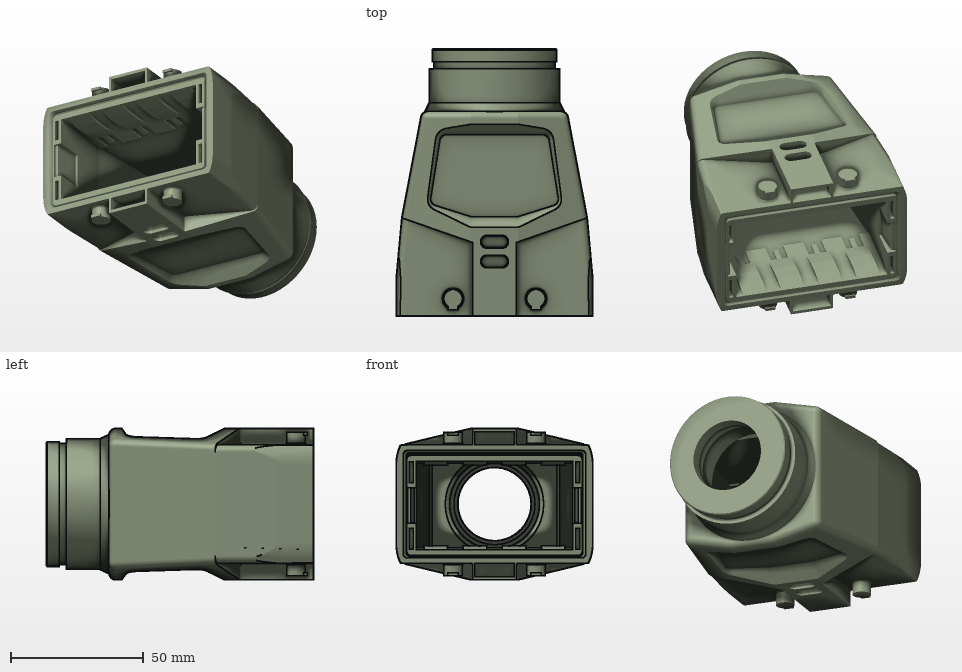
import cadquery as cq
import math


length = 100.5
half_width = 37.0
half_height = 28.5
front_half_height = 22.3
body_radius = 2.7
root_radius = 0.6
straight_end = 14.0
waist_y = 37.0
waist_half_width = 34.9
rear_y = 77.0
rear_half_width = 27.3

ridge_half_width = 8.8
roof_slope = 0.2385
box_half_width = 8.2
box_back_y = 27.7

crown_flat_z = 15.0
crown_corner_x = 35.3

label_floor_z = 22.9
label_wall_angle = 35.0
label_corner_radius = 2.5
label_cut_margin = 1.0
label_outline = [(8.7, 37.4), (24.3, 42.3), (20.2, 68.3)]

box_pocket_half_width = 7.4
box_wall = 1.2
box_pocket_depth = 16.0
slot_length = 10.4
slot_width = 4.8
slot_depth = 5.0
slot_draft = 3.0
slot_positions = (20.6, 28.0)

pin_x = 15.6
pin_y = 6.6
pin_diameter = 7.0
pin_top_z = 27.0
pin_flare = 0.5
pin_embed = 1.0
pin_tab_width = 3.8
pin_tab_height = 1.1
pin_tab_reach = 0.7

mouth_half = (34.3, 20.2)
mouth_seat_half = (33.2, 19.4)
mouth_corner_radius = 1.5
mouth_depth = 1.2

insert_shift_z = -0.5
insert_root_half = (33.2, 19.4)
insert_face_half = (33.0, 18.8)
insert_y = 0.4
insert_end_y = 28.0
insert_front_half_height = 16.65
insert_rear_half_height = 15.85
insert_half_width = 29.4

cavity_half_height = 16.6
cavity_rear_half_width = 24.5
cavity_end_y = 73.0
cavity_end_chamfer = 1.1

channel_half_height = 6.7
channel_front_x = 32.6
channel_mid_x = 31.5
channel_mid_y = 1.5
channel_back_x = 30.2
channel_end_y = 12.5
side_slot_x = (30.5, 32.1)
side_slot_z = (8.5, 16.5)
side_slot_depth = 5.0

tongue_width = 9.0
tongue_positions = (-22.1, -7.4, 7.4, 22.1)
tongue_root_z = insert_front_half_height + 0.5
tongue_profile = [(2.2, 16.1), (6.3, 15.2), (13.0, 15.2), (18.7, 16.0)]
window_width = 6.8
window_start_y = 20.0
window_bar_width = 2.0
window_bar_y = (20.0, 26.0)

neck_radius = 24.6
neck_end_y = 93.0
groove_diameter = 45.8
groove_end_y = 95.7
flange_diameter = 47.0
flange_chamfer = 0.4
flare_radius = 26.2
flare_end_y = 80.3
neck_root_margin = 1.0
bore_entry_radius = 18.5
bore_inner_radius = 16.9
bore_entry_length = 3.0
bore_inner_end_y = 88.0
bore_mid_diameter = 30.5
bore_mid_end_y = 95.0
bore_diameter = 27.5


def mirrored(points):
    """Close a right-half outline with its mirror image across X = 0."""
    return points + [(-x, y) for x, y in reversed(points)]


def plan_prism(points, half_z):
    """Plan outline in XY extruded to both sides of Z = 0."""
    return cq.Workplane("XY").polyline(points).close().extrude(half_z, both=True)


def box_between(x_range, y_range, z_range):
    """Axis-aligned block between the given limits."""
    size = [high - low for low, high in (x_range, y_range, z_range)]
    block = cq.Workplane("XY").box(*size, centered=False)
    return block.translate((x_range[0], y_range[0], z_range[0]))


def four_way(shape):
    """Shape with its mirror images across the YZ and XY planes."""
    pair = shape.union(shape.mirror("YZ"))
    return pair.union(pair.mirror("XY"))


def both_faces(shape):
    """Shape with its mirror image on the opposite Z side."""
    return shape.union(shape.mirror("XY"))


def lofted_rectangle(start_half, end_half, start_y, end_y, corner_radius=0.0):
    """Frustum along Y between two centred rectangles."""
    start = cq.Sketch().rect(2 * start_half[0], 2 * start_half[1])
    end = cq.Sketch().rect(2 * end_half[0], 2 * end_half[1])
    if corner_radius:
        start = start.vertices().fillet(corner_radius)
        end = end.vertices().fillet(corner_radius)
    return (
        cq.Workplane("XZ", origin=(0, start_y, 0))
        .placeSketch(start, end.moved(cq.Location(cq.Vector(0, 0, start_y - end_y))))
        .loft(ruled=True)
    )


def front_section():
    """Low front section with crowned sides around the mouth."""
    plan = mirrored([
        (half_width, 0),
        (half_width, straight_end),
        (waist_half_width, waist_y),
    ])
    body = plan_prism(plan, front_half_height)
    body = body.faces("<Z or >Z").edges("not #Y").edges("not |X").fillet(body_radius)
    corner = (crown_corner_x, front_half_height)
    flat = (half_width, crown_flat_z)
    drop_x = flat[0] - corner[0]
    rise_z = corner[1] - flat[1]
    crown_radius = (drop_x**2 + rise_z**2) / (2 * drop_x)
    half_angle = math.asin(rise_z / crown_radius) / 2
    crown_mid = (
        flat[0] - crown_radius * (1 - math.cos(half_angle)),
        flat[1] + crown_radius * math.sin(half_angle),
    )
    crown = (
        cq.Workplane("XZ")
        .moveTo(-corner[0], corner[1])
        .lineTo(*corner)
        .threePointArc(crown_mid, flat)
        .lineTo(flat[0], -flat[1])
        .threePointArc((crown_mid[0], -crown_mid[1]), (corner[0], -corner[1]))
        .lineTo(-corner[0], -corner[1])
        .threePointArc((-crown_mid[0], -crown_mid[1]), (-flat[0], -flat[1]))
        .lineTo(-flat[0], flat[1])
        .threePointArc((-crown_mid[0], crown_mid[1]), (-corner[0], corner[1]))
        .close()
        .extrude(-length)
    )
    return body.intersect(crown)


def rear_body():
    """Tall rear body with a sloping roof, and the latch boxes reaching forward."""
    edge_z = half_height - roof_slope * (half_width - ridge_half_width)
    section = mirrored([
        (ridge_half_width, -half_height),
        (half_width, -edge_z),
        (half_width, edge_z),
        (ridge_half_width, half_height),
    ])
    roof_prism = cq.Workplane("XZ").polyline(section).close().extrude(-length)
    hull = mirrored([
        (half_width, 0),
        (waist_half_width, waist_y),
        (rear_half_width, rear_y),
    ])
    body = plan_prism(hull, half_height).intersect(roof_prism)
    long_edges = [
        edge
        for edge in body.edges("not (|X or |Y or |Z)").vals()
        if waist_y < edge.Center().y < rear_y - body_radius
    ]
    rear_edges = body.faces(">Y").edges().vals()
    body = body.newObject(rear_edges + long_edges).fillet(body_radius)
    plan = mirrored([
        (box_half_width, 0),
        (box_half_width, box_back_y),
        (waist_half_width, waist_y),
        (half_width, waist_y),
        (half_width, length),
    ])
    return body.intersect(plan_prism(plan, half_height))


def root_fillets(hull):
    """Fillets at the roots of the latch boxes."""
    corner_z = (front_half_height + half_height) / 2
    roots = [
        (box_half_width, box_back_y / 2, front_half_height),
        (box_half_width, box_back_y, corner_z),
    ]
    for sign_x in (-1, 1):
        for sign_z in (-1, 1):
            edges = [
                hull.edges(cq.selectors.NearestToPointSelector((sign_x * x, y, sign_z * z))).val()
                for x, y, z in roots
            ]
            hull = hull.newObject(edges).fillet(root_radius)
    return hull


def label_recess():
    """Recess with sloping walls in the roof."""
    height = half_height - label_floor_z + label_cut_margin
    outline = cq.Sketch().polygon(mirrored(label_outline) + label_outline[:1])
    outline = outline.vertices().fillet(label_corner_radius)
    return (
        cq.Workplane("XY", origin=(0, 0, label_floor_z))
        .placeSketch(outline)
        .extrude(height, taper=-label_wall_angle)
    )


def latch_box_openings():
    """Front pocket and two slots of the upper latch box."""
    pocket = box_between(
        (-box_pocket_half_width, box_pocket_half_width),
        (0, box_pocket_depth),
        (front_half_height, half_height - box_wall),
    )
    slots = (
        cq.Workplane("XY", origin=(0, 0, half_height))
        .pushPoints([(0, y) for y in slot_positions])
        .slot2D(slot_length, slot_width)
        .extrude(-slot_depth, taper=slot_draft)
    )
    return pocket.union(slots)


def locking_pin():
    """Pin with a flared foot and a small forward tab at its top."""
    radius = pin_diameter / 2
    foot_z = front_half_height - pin_embed
    flare_top = front_half_height + pin_flare
    pin = (
        cq.Workplane("XZ")
        .polyline([
            (0, foot_z),
            (radius + pin_flare, foot_z),
            (radius + pin_flare, front_half_height),
            (radius, flare_top),
            (radius, pin_top_z),
            (0, pin_top_z),
        ])
        .close()
        .revolve(360, (0, 0, 0), (0, 1, 0))
    )
    tab = box_between(
        (-pin_tab_width / 2, pin_tab_width / 2),
        (-radius - pin_tab_reach, 0),
        (pin_top_z - pin_tab_height, pin_top_z),
    )
    return pin.union(tab).translate((pin_x, pin_y, 0))


def gland_neck():
    """Round neck with a flared root, a groove and an end flange."""
    groove_radius = groove_diameter / 2
    flange_radius = flange_diameter / 2
    return (
        cq.Workplane("XY")
        .polyline([
            (0, cavity_end_y),
            (bore_entry_radius + neck_root_margin, cavity_end_y),
            (flare_radius, rear_y),
            (neck_radius, flare_end_y),
            (neck_radius, neck_end_y),
            (groove_radius, neck_end_y),
            (groove_radius, groove_end_y),
            (flange_radius, groove_end_y),
            (flange_radius, length - flange_chamfer),
            (flange_radius - flange_chamfer, length),
            (0, length),
        ])
        .close()
        .revolve(360, (0, 0, 0), (0, 1, 0))
    )


def gland_bore():
    """Stepped bore from the cavity out through the neck, with a rounded entry."""
    entry_end = cavity_end_y + bore_entry_length
    entry_step = bore_entry_radius - bore_inner_radius
    entry_mid = (
        bore_entry_radius - entry_step * math.sin(math.pi / 4),
        entry_end - bore_entry_length * math.cos(math.pi / 4),
    )
    return (
        cq.Workplane("XY")
        .moveTo(0, cavity_end_y)
        .lineTo(bore_entry_radius, cavity_end_y)
        .threePointArc(entry_mid, (bore_inner_radius, entry_end))
        .lineTo(bore_inner_radius, bore_inner_end_y)
        .lineTo(bore_mid_diameter / 2, bore_inner_end_y)
        .lineTo(bore_mid_diameter / 2, bore_mid_end_y)
        .lineTo(bore_diameter / 2, bore_mid_end_y)
        .lineTo(bore_diameter / 2, length)
        .lineTo(0, length)
        .close()
        .revolve(360, (0, 0, 0), (0, 1, 0))
    )


def insert_face():
    """Raised chamfered face of the insert inside the seal groove."""
    return lofted_rectangle(
        insert_face_half, insert_root_half, insert_y, mouth_depth, mouth_corner_radius
    ).translate((0, 0, insert_shift_z))


def seal_groove():
    """Sloping recess around the mouth with the insert face left standing in it."""
    mouth = lofted_rectangle(mouth_half, mouth_seat_half, 0, mouth_depth, mouth_corner_radius)
    return mouth.cut(insert_face())


def cavity():
    """Opening through the insert and the tapering cavity behind it."""
    opening = lofted_rectangle(
        (insert_half_width, insert_front_half_height),
        (insert_half_width, insert_rear_half_height),
        0,
        insert_end_y,
    )
    plan = mirrored([
        (insert_half_width, insert_end_y),
        (cavity_rear_half_width, cavity_end_y - cavity_end_chamfer),
        (cavity_rear_half_width - cavity_end_chamfer, cavity_end_y),
    ])
    return opening.union(plan_prism(plan, cavity_half_height))


def guide_channel():
    """Channel in the right side of the insert, narrowing toward the back."""
    outline = [
        (0, insert_y),
        (channel_front_x, insert_y),
        (channel_front_x, channel_mid_y),
        (channel_mid_x, channel_mid_y),
        (channel_back_x, channel_end_y),
        (0, channel_end_y),
    ]
    return plan_prism(outline, channel_half_height)


def side_slot():
    """Blind slot in the upper right of the insert face."""
    return box_between(side_slot_x, (insert_y, insert_y + side_slot_depth), side_slot_z)


def repeated_tongues(shape):
    """Copies of a shape at every tongue position, on the floor and the roof."""
    row = cq.Workplane("XY")
    for x in tongue_positions:
        row = row.union(shape.translate((x, 0, 0)))
    return both_faces(row)


def contact_tongue():
    """Crested tongue standing on the insert roof."""
    profile = [(insert_y, tongue_root_z), (insert_y, insert_front_half_height)]
    profile += tongue_profile
    profile += [(tongue_profile[-1][0], tongue_root_z)]
    return cq.Workplane("YZ").polyline(profile).close().extrude(tongue_width / 2, both=True)


def clip_window():
    """Window behind a tongue, open at the back of the insert and divided by a bar."""
    z_range = (insert_rear_half_height, cavity_half_height)
    window_x = (-window_width / 2, window_width / 2)
    bar_x = (-window_bar_width / 2, window_bar_width / 2)
    window = box_between(window_x, (window_start_y, insert_end_y), z_range)
    return window.cut(box_between(bar_x, window_bar_y, z_range))


hull = root_fillets(front_section().union(rear_body()))
shell = hull.union(gland_neck()).union(four_way(locking_pin()))
shell = shell.cut(both_faces(label_recess())).cut(both_faces(latch_box_openings()))
shell = shell.cut(seal_groove()).cut(gland_bore())

interior = cavity().union(four_way(guide_channel())).union(four_way(side_slot()))
interior = interior.cut(repeated_tongues(contact_tongue())).union(repeated_tongues(clip_window()))
result = shell.cut(interior.translate((0, 0, insert_shift_z)))